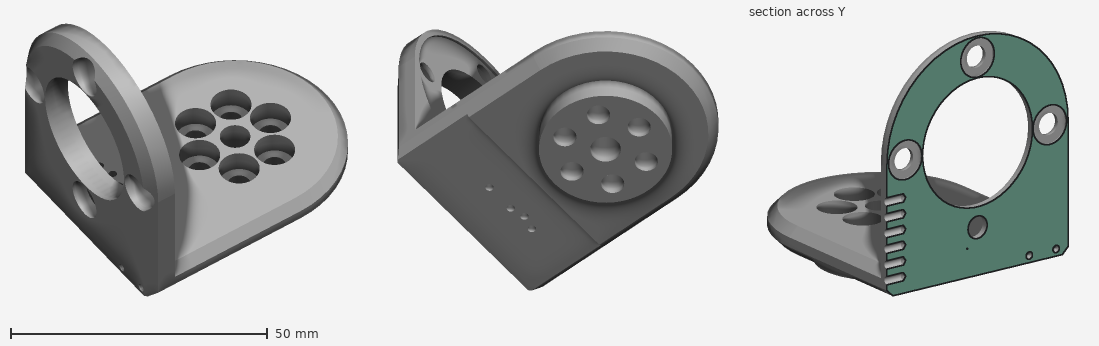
import cadquery as cq
import math

length = 58.0
height = 55.0
width = 44.0
round_radius = width / 2
plate = 6.0
chamfer = 2.0

boss_height = 5.0
boss_diameter = 26.0
base_center_y = length - round_radius
wall_center_z = height - round_radius

relief_depth = 0.5
relief_length = 18.0

recess_diameter = 41.4
recess_depth = 0.5

screw_diameter = 4.5
counterbore_diameter = 8.0
counterbore_depth = 4.5
bottom_counterbore_depth = 3.0
wall_opening_diameter = 26.5
wall_screw_radius = 17.5
base_center_diameter = 6.0
base_screw_radius = 8.45

pin_diameter = 1.6
pin_depth = 4.0
pin_tip_depth = 0.5
side_pin_y = 4.05
side_pin_first_z = 9.0
side_pin_pitch = 3.25
side_pin_count = 6
front_pin_z = 7.0
front_pins_x = (12.5, 19.0)
base_pins = ((-9.0, 10.05), (-5.75, 10.85), (-2.5, 10.05), (4.0, 10.05))


def arched_outline(plane, straight_start, straight_end):
    """Outline with straight sides between the two places, closed by a half-round."""
    return (
        cq.Workplane(plane)
        .moveTo(-round_radius, straight_start)
        .lineTo(round_radius, straight_start)
        .lineTo(round_radius, straight_end)
        .threePointArc((0, straight_end + round_radius), (-round_radius, straight_end))
        .close()
    )


def base_plate():
    """Lying plate, chamfered below along its sides and round end."""
    body = arched_outline("XY", plate, base_center_y).extrude(plate)
    body = body.faces("<Z").edges("not <Y").chamfer(chamfer)
    return body.translate((0, 0, boss_height))


def chamfer_base_top(body):
    """Chamfer the upper rim of the base, from the wall round to the wall."""
    top = boss_height + plate
    rim = body.edges(
        cq.selectors.BoxSelector(
            (-width, plate + chamfer, top - chamfer / 2), (width, length + 0.6, top + chamfer / 2)
        )
    )
    return rim.chamfer(chamfer)


def wall_plate():
    """Standing plate, chamfered in front along its sides and round top."""
    straight = wall_center_z - boss_height
    body = arched_outline("XZ", 0, straight).extrude(-plate)
    body = body.faces("<Y").edges("not <Z").chamfer(chamfer)
    body = body.translate((0, 0, boss_height))
    corner = chamfer_corner(1).union(chamfer_corner(-1))
    return body.cut(corner)


def chamfer_corner(side):
    """Triangular prism that bevels one lower side edge of the wall."""
    edge = side * round_radius
    return (
        cq.Workplane("XZ")
        .moveTo(edge, boss_height)
        .lineTo(edge, boss_height + chamfer)
        .lineTo(edge - side * chamfer, boss_height)
        .close()
        .extrude(-plate)
    )


def cylinder(start, direction, diameter, depth):
    return cq.Workplane(
        cq.Solid.makeCylinder(diameter / 2, depth, cq.Vector(*start), cq.Vector(*direction))
    )


def counterbored_hole(start, direction, depth, seat_depth):
    hole = cylinder(start, direction, screw_diameter, depth)
    return hole.union(cylinder(start, direction, counterbore_diameter, seat_depth))


def pin_hole(start, direction):
    """Blind drilled hole with a conical tip."""
    axis = cq.Vector(*direction)
    tip = cq.Solid.makeCone(
        pin_diameter / 2, 0, pin_tip_depth, cq.Vector(*start) + axis * pin_depth, axis
    )
    return cylinder(start, direction, pin_diameter, pin_depth).union(cq.Workplane(tip))


def cut_wall_holes(body):
    inward = (0, 1, 0)
    body = body.cut(cylinder((0, 0, wall_center_z), inward, wall_opening_diameter, plate))
    recess_start = (0, plate, wall_center_z)
    body = body.cut(cylinder(recess_start, (0, -1, 0), recess_diameter, recess_depth))
    seat_depths = (counterbore_depth, counterbore_depth, counterbore_depth, bottom_counterbore_depth)
    for index, seat_depth in enumerate(seat_depths):
        angle = math.radians(90 * index)
        x = wall_screw_radius * math.cos(angle)
        z = wall_center_z + wall_screw_radius * math.sin(angle)
        body = body.cut(counterbored_hole((x, 0, z), inward, plate, seat_depth))
    for x in front_pins_x:
        body = body.cut(pin_hole((x, 0, front_pin_z), inward))
    for index in range(side_pin_count):
        z = side_pin_first_z + index * side_pin_pitch
        body = body.cut(pin_hole((-round_radius, side_pin_y, z), (1, 0, 0)))
    return body


def cut_base_holes(body):
    top = boss_height + plate
    down = (0, 0, -1)
    body = body.cut(cylinder((0, base_center_y, top), down, base_center_diameter, top))
    for index in range(6):
        angle = math.radians(30 + 60 * index)
        x = base_screw_radius * math.cos(angle)
        y = base_center_y + base_screw_radius * math.sin(angle)
        body = body.cut(counterbored_hole((x, y, top), down, top, counterbore_depth))
    for x, y in base_pins:
        body = body.cut(cylinder((x, y, top), down, pin_diameter, plate))
    return body


bracket = chamfer_base_top(base_plate().union(wall_plate()))
boss = cylinder((0, base_center_y, 0), (0, 0, 1), boss_diameter, boss_height)
relief = cq.Workplane("XY").box(width, relief_length, relief_depth, centered=(True, False, False))
bracket = bracket.cut(relief.translate((0, 0, boss_height))).union(boss)

result = cut_base_holes(cut_wall_holes(bracket))